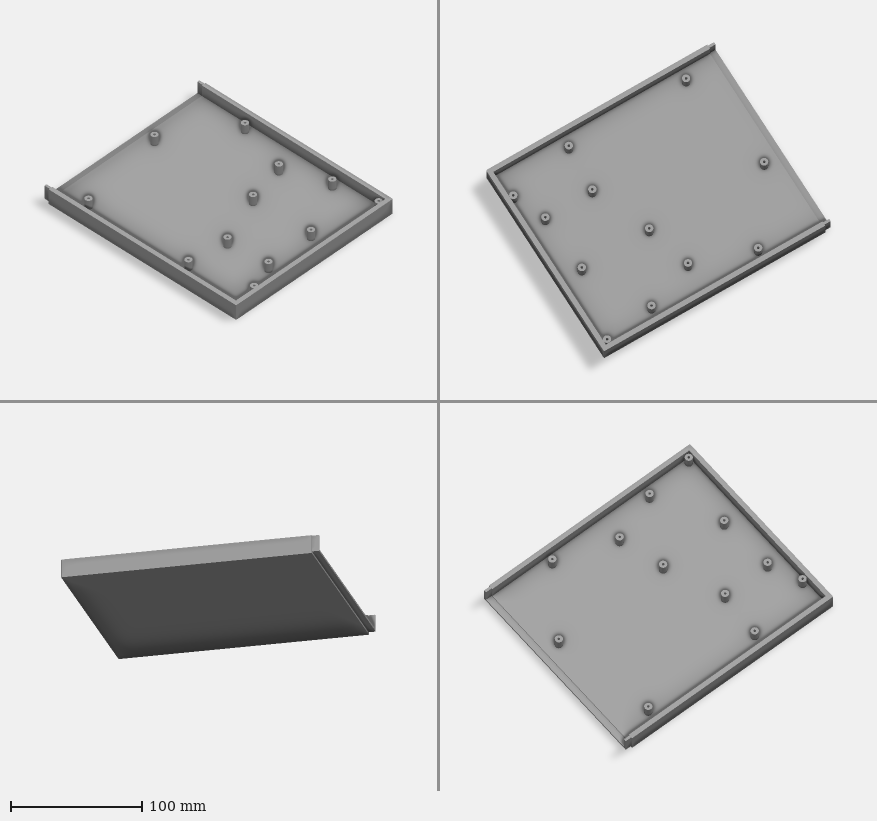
import cadquery as cq

length = 203.0
width = 173.0
height = 14.6
wall = 4.0
floor = 4.0
corner_radius = 0.6

tongue_length = 5.5
tongue_side_inset = 1.0
tongue_bottom_inset = 1.6
tongue_inner_inset = 3.2

standoff_diameter = 6.3
standoff_bore = 2.0
standoff_top_drop = 1.6
standoff_top = height - standoff_top_drop
standoff_points = [
    (-43.2, 74.9),
    (9.0, 57.6),
    (50.7, 72.9),
    (94.0, 78.7),
    (-83.6, 17.2),
    (19.5, 18.0),
    (80.0, 18.7),
    (40.0, -31.7),
    (82.4, -30.8),
    (94.0, -58.8),
    (-68.2, -71.8),
    (36.7, -71.5),
]

open_end = -length / 2
far_end = length / 2
body_start = open_end + tongue_length


def block(x_start, x_end, side_inset, bottom):
    """Box between two X positions, inset from both sides, reaching the tray top."""
    return cq.Workplane("XY").box(
        x_end - x_start, width - 2 * side_inset, height - bottom, centered=(False, True, False)
    ).translate((x_start, 0, bottom))


def make_body():
    """Tray with walls on three sides, open at the -X end, rounded at the +X corners."""
    outer = block(body_start, far_end, 0, 0).edges("|Z and >X").fillet(corner_radius)
    return outer.cut(block(body_start, far_end - wall, wall, floor))


def make_tongue():
    """U-shaped tongue, slightly wider and deeper inside than the tray."""
    outer = block(open_end, body_start, tongue_side_inset, tongue_bottom_inset)
    return outer.cut(block(open_end, body_start, tongue_inner_inset, tongue_inner_inset))


def make_standoffs():
    """Hollow posts, bored down to the floor."""
    return (
        cq.Workplane("XY", origin=(0, 0, floor))
        .pushPoints(standoff_points)
        .circle(standoff_diameter / 2)
        .circle(standoff_bore / 2)
        .extrude(standoff_top - floor)
    )


result = make_body().union(make_tongue()).union(make_standoffs())